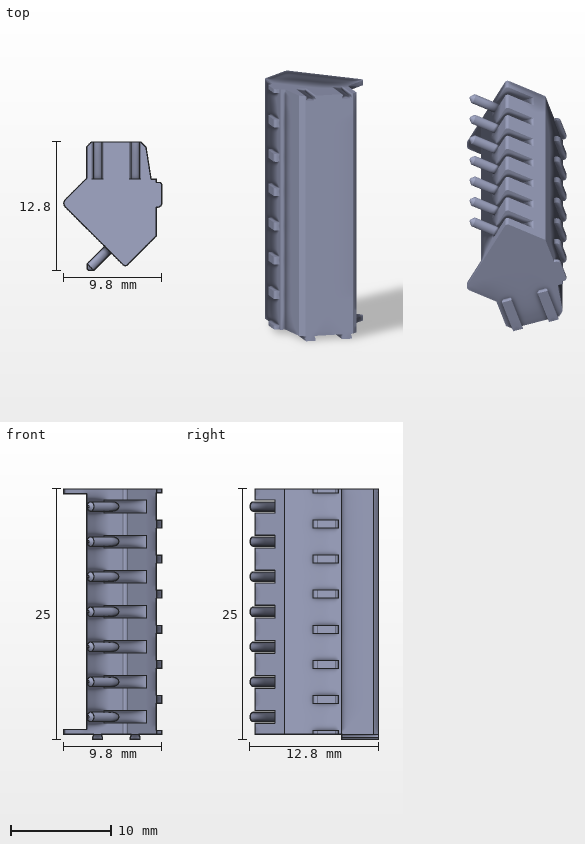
import cadquery as cq
import math


pin_count = 7
pitch = 3.5
housing_length = pin_count * pitch
pin_heights = [(i + 0.5) * pitch for i in range(pin_count)]
nub_heights = [i * pitch for i in range(pin_count + 1)]

shroud_left = 2.28
shroud_depth = 3.7
shroud_chamfer = 0.5
shroud_back_right = 7.7
taper_top_x = 8.22
taper_foot_x = 8.72

body_right = 9.25
nose_y = -6.12
nose_radius = 0.5
nose_corner_x = -nose_radius * (math.sqrt(2) - 1)
foot_x = 6.15
foot_y = nose_y - (foot_x - nose_corner_x)
foot_radius = 0.3
flange_thickness = 0.5

notch_floor_y = -10.35
notch_height = 1.25

pin_radius = 0.48
pin_chamfer = 0.35
pin_floor_x = 4.82
pin_root_x = 6.0
pin_root_y = notch_floor_y + (pin_root_x - pin_floor_x)
pin_length = 5.05
pin_direction = cq.Vector(-1, -1, 0)

nub_reach = 0.55
nub_back_y = -4.02
nub_front_y = -6.52
nub_height = 0.8
nub_back_radius = 0.3
nub_front_radius = 0.45

joint_centres = [3.38, 7.12]
joint_depth = 0.5
joint_neck_width = 0.75
rib_width = 1.0
rib_flare_depth = 0.3
groove_floor_width = 1.1
groove_radius = 0.12


def make_housing():
    """Full-length prism of the end outline, with the nose kept only as a thin flange at each end."""
    nose_back_y = nose_y + (shroud_left - nose_corner_x)
    side_front_y = foot_y + (body_right - foot_x)
    housing = (
        cq.Workplane("XY")
        .polyline([
            (shroud_left, -shroud_chamfer),
            (shroud_left + shroud_chamfer, 0),
            (shroud_back_right, 0),
            (taper_top_x, -(taper_top_x - shroud_back_right)),
            (taper_foot_x, -shroud_depth),
            (body_right, -shroud_depth),
            (body_right, side_front_y),
            (foot_x, foot_y),
            (nose_corner_x, nose_y),
            (shroud_left, nose_back_y),
        ])
        .close()
        .extrude(housing_length)
    )
    middle = housing_length / 2
    nose_edge = cq.selectors.NearestToPointSelector((nose_corner_x, nose_y, middle))
    foot_edge = cq.selectors.NearestToPointSelector((foot_x, foot_y, middle))
    housing = housing.edges(nose_edge).fillet(nose_radius)
    housing = housing.edges(foot_edge).fillet(foot_radius)

    nose_gap = (
        cq.Workplane("XY", origin=(0, 0, flange_thickness))
        .rect(2 * shroud_left, 2 * abs(foot_y))
        .extrude(housing_length - 2 * flange_thickness)
    )
    return housing.cut(nose_gap)


def make_notch(height):
    """Cutter removing everything in front of the notch floor around one pin."""
    return (
        cq.Workplane("XY", origin=(0, 0, height - notch_height / 2))
        .moveTo(0, foot_y)
        .lineTo(body_right, foot_y)
        .lineTo(body_right, notch_floor_y)
        .lineTo(0, notch_floor_y)
        .close()
        .extrude(notch_height)
    )


def make_pin(height):
    """Round pin with a chamfered tip, rooted inside the housing."""
    root = cq.Plane(origin=(pin_root_x, pin_root_y, height), xDir=(0, 0, 1), normal=pin_direction)
    return (
        cq.Workplane(root)
        .circle(pin_radius)
        .extrude(pin_length)
        .faces(cq.selectors.DirectionMinMaxSelector(pin_direction))
        .chamfer(pin_chamfer)
    )


def make_nub(height):
    """Rounded nub centred at the given height, cut off flush with the ends of the housing."""
    nub_right = body_right + nub_reach
    bottom = max(height - nub_height / 2, 0)
    top = min(height + nub_height / 2, housing_length)
    return (
        cq.Workplane("XY", origin=(0, 0, bottom))
        .moveTo(taper_foot_x, nub_back_y)
        .lineTo(nub_right, nub_back_y)
        .lineTo(nub_right, nub_front_y)
        .lineTo(taper_foot_x, nub_front_y)
        .close()
        .extrude(top - bottom)
        .edges("|Z and >X and >Y")
        .fillet(nub_back_radius)
        .edges("|Z and <Y and (not <X)")
        .fillet(nub_front_radius)
    )


def make_rib(centre_x):
    """Rib along the shroud, flaring from its neck at the lower end face to a straight-sided foot."""
    half_neck = joint_neck_width / 2
    half_rib = rib_width / 2
    return (
        cq.Workplane("XZ")
        .polyline([
            (centre_x - half_neck, 0),
            (centre_x - half_rib, -rib_flare_depth),
            (centre_x - half_rib, -joint_depth),
            (centre_x + half_rib, -joint_depth),
            (centre_x + half_rib, -rib_flare_depth),
            (centre_x + half_neck, 0),
        ])
        .close()
        .extrude(shroud_depth)
    )


def cut_groove(body, centre_x):
    """Cut a dovetail groove along the shroud, with rounded lips and rounded floor corners."""
    half_neck = joint_neck_width / 2
    half_floor = groove_floor_width / 2
    floor_z = housing_length - joint_depth
    cutter = (
        cq.Workplane("XZ")
        .polyline([
            (centre_x - half_neck, housing_length),
            (centre_x - half_floor, floor_z),
            (centre_x + half_floor, floor_z),
            (centre_x + half_neck, housing_length),
        ])
        .close()
        .extrude(shroud_depth)
    )
    body = body.cut(cutter)
    for side in (-1, 1):
        for half_width, z in ((half_neck, housing_length), (half_floor, floor_z)):
            middle = (centre_x + side * half_width, -shroud_depth / 2, z)
            body = body.edges(cq.selectors.NearestToPointSelector(middle)).fillet(groove_radius)
    return body


result = make_housing()

for centre_x in joint_centres:
    result = cut_groove(result, centre_x)
    result = result.union(make_rib(centre_x))

for height in nub_heights:
    result = result.union(make_nub(height))

for height in pin_heights:
    result = result.cut(make_notch(height))
    result = result.union(make_pin(height))